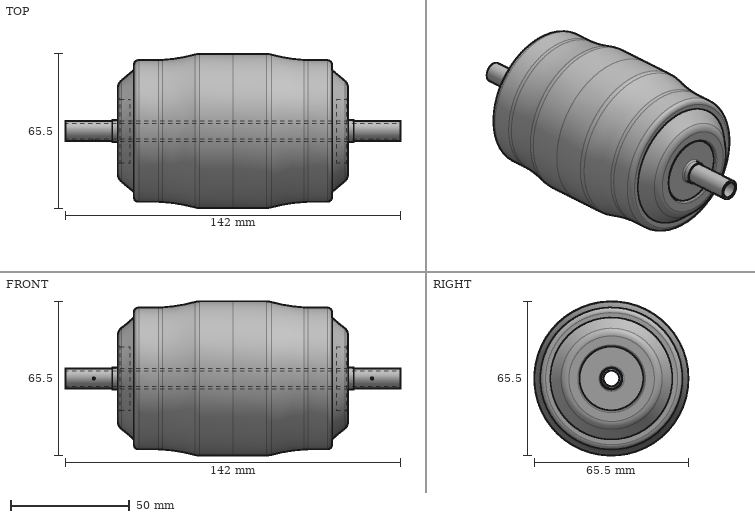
import cadquery as cq
import math

AXLE_LENGTH = 142.0
AXLE_RADIUS = 4.3
AXLE_BORE_RADIUS = 3.3
PIN_HOLE_RADIUS = 0.5
PIN_HOLE_FROM_END = 12.0

CROWN_HALF_WIDTH = 14.2
CROWN_RADIUS = 65.5 / 2
FLANK_START = 16.2
FLANK_START_RADIUS = 64.9 / 2
FLANK_MIDDLE = 23.0
FLANK_MIDDLE_RADIUS = 31.0
FLANK_END = 30.0
FLANK_END_RADIUS = 60.4 / 2
SHOULDER_START = 31.7
SHOULDER_END = 42.0
SHOULDER_RADIUS = 30.1
SHOULDER_FILLET = 2.1
CONE_BASE_RADIUS = 25.8
CONE_ANGLE = 40.0
CONE_FILLET = 4.3
SHELL_HALF_LENGTH = 48.8

CORNER_RADIUS = 0.4
RECESS_DEPTH = 2 * CORNER_RADIUS
CAP_RADIUS = 13.5
CAP_THICKNESS = 4.3
HUB_RADIUS = 4.7
HUB_FILLET = 0.64
HUB_LENGTH = 2.3

CAP_FACE = SHELL_HALF_LENGTH - RECESS_DEPTH
CAP_BACK = CAP_FACE - CAP_THICKNESS
HUB_END = SHELL_HALF_LENGTH + HUB_LENGTH
RECESS_MIDDLE = CAP_FACE + CORNER_RADIUS
RECESS_RADIUS = CAP_RADIUS + 2 * CORNER_RADIUS


def revolve_about_x(profile):
    return profile.close().revolve(360, (0, 0, 0), (1, 0, 0))


def make_axle():
    tube = (
        cq.Workplane("YZ", origin=(-AXLE_LENGTH / 2, 0, 0))
        .circle(AXLE_RADIUS)
        .circle(AXLE_BORE_RADIUS)
        .extrude(AXLE_LENGTH)
    )
    pin_hole_x = AXLE_LENGTH / 2 - PIN_HOLE_FROM_END
    pin_holes = (
        cq.Workplane("XZ")
        .pushPoints([(-pin_hole_x, 0), (pin_hole_x, 0)])
        .circle(PIN_HOLE_RADIUS)
        .extrude(AXLE_RADIUS)
    )
    return tube.cut(pin_holes)


def make_shell():
    cone_angle = math.radians(CONE_ANGLE)
    cone_tip_radius = CONE_BASE_RADIUS - (SHELL_HALF_LENGTH - SHOULDER_END) * math.tan(cone_angle)
    fillet_setback = CONE_FILLET * math.tan((math.pi / 2 - cone_angle) / 2)
    cone_end = SHELL_HALF_LENGTH - fillet_setback * math.cos(cone_angle)
    cone_end_radius = cone_tip_radius + fillet_setback * math.sin(cone_angle)

    half = revolve_about_x(
        cq.Workplane("XY")
        .moveTo(0, AXLE_RADIUS)
        .lineTo(0, CROWN_RADIUS)
        .lineTo(CROWN_HALF_WIDTH, CROWN_RADIUS)
        .tangentArcPoint((FLANK_START, FLANK_START_RADIUS), relative=False)
        .threePointArc((FLANK_MIDDLE, FLANK_MIDDLE_RADIUS), (FLANK_END, FLANK_END_RADIUS))
        .tangentArcPoint((SHOULDER_START, SHOULDER_RADIUS), relative=False)
        .lineTo(SHOULDER_END - SHOULDER_FILLET, SHOULDER_RADIUS)
        .tangentArcPoint((SHOULDER_FILLET, -SHOULDER_FILLET))
        .lineTo(SHOULDER_END, CONE_BASE_RADIUS)
        .lineTo(cone_end, cone_end_radius)
        .tangentArcPoint((SHELL_HALF_LENGTH, cone_tip_radius - fillet_setback), relative=False)
        .lineTo(SHELL_HALF_LENGTH, RECESS_RADIUS)
        .tangentArcPoint((RECESS_MIDDLE, CAP_RADIUS + CORNER_RADIUS), relative=False)
        .tangentArcPoint((CAP_FACE, CAP_RADIUS), relative=False)
        .lineTo(CAP_BACK, CAP_RADIUS)
        .lineTo(CAP_BACK, AXLE_RADIUS)
    )
    return half.union(half.mirror("YZ"))


def make_cap(at_positive_end):
    cap = revolve_about_x(
        cq.Workplane("XY")
        .moveTo(CAP_BACK, AXLE_RADIUS)
        .lineTo(CAP_BACK, CAP_RADIUS)
        .lineTo(CAP_FACE, CAP_RADIUS)
        .lineTo(CAP_FACE, HUB_RADIUS + HUB_FILLET)
        .tangentArcPoint((CAP_FACE + HUB_FILLET, HUB_RADIUS), relative=False)
        .lineTo(HUB_END, HUB_RADIUS)
        .lineTo(HUB_END, AXLE_RADIUS)
    )
    return cap if at_positive_end else cap.mirror("YZ")


axle = make_axle()
shell = make_shell()
caps = [make_cap(at_positive_end) for at_positive_end in (False, True)]

result = cq.Compound.makeCompound([axle.val(), shell.val(), *[cap.val() for cap in caps]])